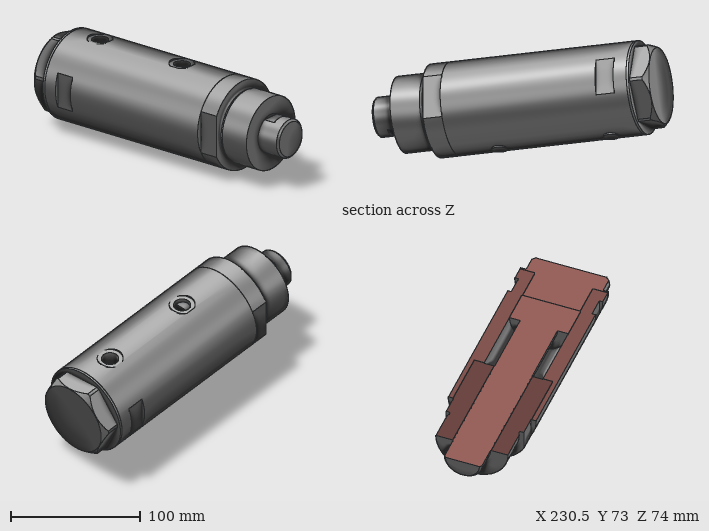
import cadquery as cq
import math

total_length = 230.5
barrel_diameter = 73.0
barrel_radius = barrel_diameter / 2
bore_radius = 24.2

hex_length = 14.3
hex_half_flats = 29.7
hex_corner_radius = 33.7
hex_turn = -8.0
hex_face_radius = 29.5
cap_flange_end = 16.1
cap_plug_end = 42.6

barrel_end = 167.5
barrel_flat_start = 26.7
barrel_flat_end = 41.5
barrel_flat_half_width = 33.7
port_positions = (41.5, 122.6)
port_diameter = 13.1
spotface_diameter = 20.0
spotface_depth = 1.2
button_positions = (40.5, 131.6)
button_radius = 6.0
button_height = 1.0

gland_start = port_positions[1]
spigot_radius = 32.3
gland_flange_end = 183.0
gland_flat_half_width = 32.3
groove_radius = 29.0
groove_fillet = 0.7
groove_floor_end = 184.9
neck_start = 186.7
neck_radius = 30.0
neck_end = 210.7

piston_end = 69.2
rod_radius = 15.7
rod_flat_end = 220.4
rod_flat_half_width = 13.5
rod_chamfer = 1.5


def cylinder(radius, start, end):
    """Solid cylinder about the X axis."""
    return cq.Workplane("YZ", origin=(start, 0, 0)).circle(radius).extrude(end - start)


def slab(start, end, y_size, z_size):
    """Box centred on the X axis."""
    return cq.Workplane("YZ", origin=(start, 0, 0)).rect(y_size, z_size).extrude(end - start)


def beside_flats(radius, start, end, y_size, z_size):
    """The two side segments of a round length that lie outside a pair of flats."""
    return cylinder(radius, start, end).cut(slab(start, end, y_size, z_size))


def make_cap():
    hex_circumradius = hex_half_flats / math.cos(math.pi / 6)
    hexagon = cq.Workplane("YZ").polygon(6, 2 * hex_circumradius).extrude(hex_length)
    bevel = hex_corner_radius - hex_face_radius
    blank = cylinder(hex_corner_radius, 0, hex_length).faces("<X").chamfer(bevel)
    head = hexagon.intersect(blank)
    flange = cylinder(barrel_radius, hex_length, cap_flange_end)
    plug = cylinder(bore_radius, cap_flange_end, cap_plug_end)
    cap = head.union(flange).union(plug)
    return cap.rotate((0, 0, 0), (1, 0, 0), hex_turn)


def make_barrel():
    barrel = cylinder(barrel_radius, cap_flange_end, barrel_end)
    for position in button_positions:
        button = (
            cq.Workplane("XY", origin=(position, 0, -barrel_radius - button_height))
            .circle(button_radius)
            .extrude(barrel_radius - bore_radius)
        )
        barrel = barrel.union(button)
    flat_gap = 2 * barrel_flat_half_width
    barrel = barrel.cut(
        beside_flats(barrel_radius, barrel_flat_start, barrel_flat_end, flat_gap, barrel_diameter)
    )
    barrel = barrel.cut(cylinder(bore_radius, cap_flange_end, barrel_end))
    barrel = barrel.cut(cylinder(spigot_radius, gland_start, barrel_end))
    for position in port_positions:
        port = cq.Workplane("XY", origin=(position, 0, 0)).circle(port_diameter / 2).extrude(barrel_radius)
        spotface = (
            cq.Workplane("XY", origin=(position, 0, barrel_radius - spotface_depth))
            .circle(spotface_diameter / 2)
            .extrude(spotface_depth)
        )
        barrel = barrel.cut(port).cut(spotface)
    return barrel


def make_gland():
    fillet_bulge = groove_fillet * (1 - math.sqrt(0.5))
    profile = (
        cq.Workplane("XZ")
        .moveTo(gland_start, rod_radius)
        .lineTo(gland_start, spigot_radius)
        .lineTo(barrel_end, spigot_radius)
        .lineTo(barrel_end, barrel_radius)
        .lineTo(gland_flange_end, barrel_radius)
        .lineTo(gland_flange_end, groove_radius + groove_fillet)
        .threePointArc(
            (gland_flange_end + fillet_bulge, groove_radius + fillet_bulge),
            (gland_flange_end + groove_fillet, groove_radius),
        )
        .lineTo(groove_floor_end, groove_radius)
        .lineTo(neck_start, neck_radius)
        .lineTo(neck_end, neck_radius)
        .lineTo(neck_end, rod_radius)
        .close()
    )
    gland = profile.revolve(360, (0, 0, 0), (1, 0, 0))
    flat_gap = 2 * gland_flat_half_width
    return gland.cut(
        beside_flats(barrel_radius, barrel_end, gland_flange_end, flat_gap, barrel_diameter)
    )


def make_rod():
    rod = cylinder(rod_radius, cap_plug_end, total_length).faces(">X").chamfer(rod_chamfer)
    rod = rod.union(cylinder(bore_radius, cap_plug_end, piston_end))
    flat_gap = 2 * rod_flat_half_width
    return rod.cut(beside_flats(rod_radius, neck_end, rod_flat_end, 2 * rod_radius, flat_gap))


cap = make_cap()
barrel = make_barrel()
gland = make_gland()
rod = make_rod()

result = cq.Compound.makeCompound([cap.val(), barrel.val(), gland.val(), rod.val()])